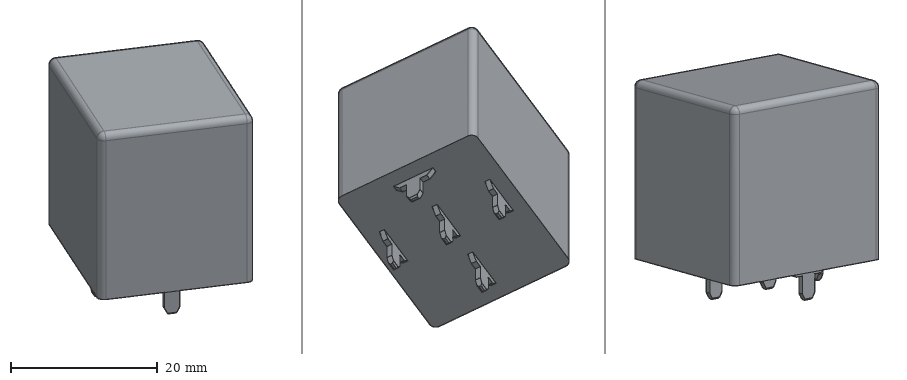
import cadquery as cq

housing_length = 26.0
housing_width = 22.0
overall_height = 29.5
pin_length = 4.5
housing_height = overall_height - pin_length
edge_radius = 1.0

pin_thickness = 0.8
shoulder_root_width = 6.25
shoulder_width = 4.3
shoulder_depth = 1.0
blade_width = 2.18
tip_width = 1.1
taper_length = 1.0
tip_chamfer = 0.25

end_pin_x = -7.5
middle_pin_x = 1.98
cross_pin_x = 10.38
side_pin_y = 8.38
quarter_turn = 90.0

pin_places = [
    (end_pin_x, 0, 0),
    (middle_pin_x, -side_pin_y, 0),
    (middle_pin_x, 0, 0),
    (middle_pin_x, side_pin_y, 0),
    (cross_pin_x, 0, quarter_turn),
]


def make_housing():
    """Block rounded along its upright and top edges, with a sharp lower rim."""
    block = cq.Workplane("XY").box(
        housing_length, housing_width, housing_height, centered=(True, True, False)
    )
    return block.edges("|Z or >Z").fillet(edge_radius)


def make_pin():
    """Pin hanging down from Z = 0, with its wide faces along X."""
    left_half = [
        (-shoulder_root_width / 2, 0),
        (-shoulder_width / 2, -shoulder_depth),
        (-blade_width / 2, -shoulder_depth),
        (-blade_width / 2, taper_length - pin_length),
        (-tip_width / 2, -pin_length),
    ]
    right_half = [(-x, z) for x, z in reversed(left_half)]
    blade = (
        cq.Workplane("XZ")
        .polyline(left_half + right_half)
        .close()
        .extrude(pin_thickness / 2, both=True)
    )
    return blade.faces("<Z").edges("|X").chamfer(tip_chamfer)


housing = make_housing()

pins = []
for x, y, turn in pin_places:
    pin = make_pin().rotate((0, 0, 0), (0, 0, 1), turn).translate((x, y, 0))
    pins.append(pin.val())

result = cq.Compound.makeCompound([housing.val(), *pins])